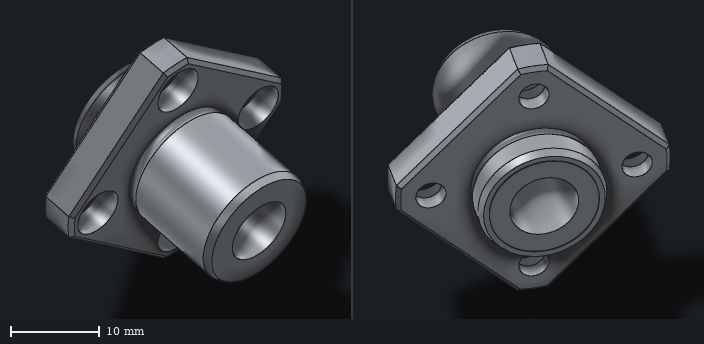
import cadquery as cq
import math

sleeve_length = 24.0
sleeve_diameter = 15.0
bore_diameter = 8.0
end_crown_radius = 4.0
end_crown_length = 1.0
end_crown_drop = 0.42

recess_diameter = 12.8
recess_depth = 0.1

flange_front = 5.0
flange_thickness = 5.0
flange_back = flange_front + flange_thickness
flange_side = 25.0
flange_corner_diameter = 32.0
flange_chamfer = 0.5

groove_radius = 1.2
groove_depth = 0.3
groove_offset = 0.55

hole_count = 4
hole_diameter = 3.5
counterbore_diameter = 6.0
counterbore_depth = 3.1
bolt_circle_diameter = 24.0


def x_cylinder(diameter, start, length):
    """Cylinder about the X axis."""
    return cq.Workplane("YZ", origin=(start, 0, 0)).circle(diameter / 2).extrude(length)


def make_sleeve():
    """Revolved barrel whose ends taper inward along a slightly bulging arc."""
    radius = sleeve_diameter / 2
    end_radius = radius - end_crown_drop
    back_crown_start = sleeve_length - end_crown_length
    return (
        cq.Workplane("XY")
        .lineTo(0, end_radius)
        .radiusArc((end_crown_length, radius), end_crown_radius)
        .lineTo(back_crown_start, radius)
        .radiusArc((sleeve_length, end_radius), end_crown_radius)
        .lineTo(sleeve_length, 0)
        .close()
        .revolve(360, (0, 0, 0), (1, 0, 0))
    )


def make_groove(center_x):
    """Ring of circular section that cuts a shallow groove around the sleeve."""
    center_radius = sleeve_diameter / 2 - groove_depth + groove_radius
    return (
        cq.Workplane("XY")
        .center(center_x, center_radius)
        .circle(groove_radius)
        .revolve(360, (0, -center_radius, 0), (1, -center_radius, 0))
    )


def make_flange():
    """Square plate on its corner, rounded corners, both face outlines chamfered."""
    square = (
        cq.Workplane("YZ", origin=(flange_front, 0, 0))
        .rect(flange_side, flange_side)
        .extrude(flange_thickness)
        .rotate((0, 0, 0), (1, 0, 0), 45)
    )
    plate = square.intersect(x_cylinder(flange_corner_diameter, flange_front, flange_thickness))
    return plate.faces("<X or >X").edges().chamfer(flange_chamfer)


def cut_mounting_holes(body):
    """Through holes on the bolt circle, counterbored from the back of the flange."""
    bolt_radius = bolt_circle_diameter / 2
    for index in range(hole_count):
        angle = index * 2 * math.pi / hole_count
        position = (0, bolt_radius * math.cos(angle), bolt_radius * math.sin(angle))
        hole = x_cylinder(hole_diameter, flange_front, flange_thickness)
        counterbore = x_cylinder(
            counterbore_diameter, flange_back - counterbore_depth, counterbore_depth
        )
        body = body.cut(hole.union(counterbore).translate(position))
    return body


sleeve = make_sleeve()
for groove_center in (flange_front - groove_offset, flange_back + groove_offset):
    sleeve = sleeve.cut(make_groove(groove_center))

body = cut_mounting_holes(sleeve.union(make_flange()))
body = body.cut(x_cylinder(recess_diameter, 0, recess_depth))
result = body.cut(x_cylinder(bore_diameter, 0, sleeve_length))